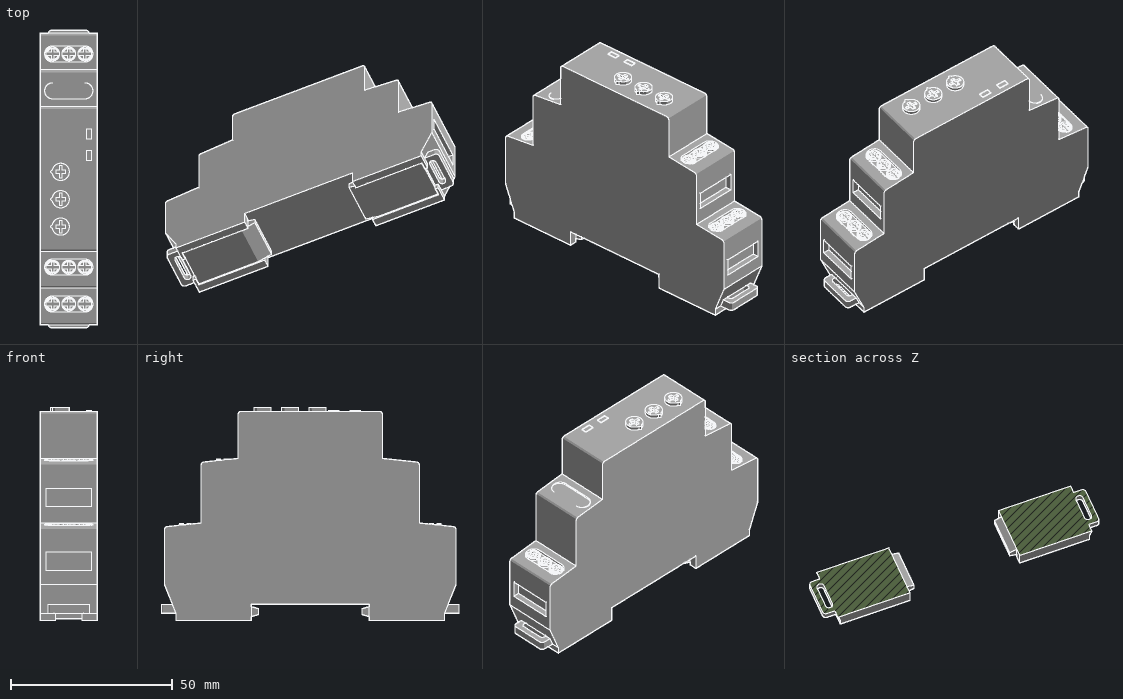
import cadquery as cq
import math

width = 17.8
top_height = 64.7
tier_half_lengths = (45.1, 33.8, 22.4)
shelf_heights = (30.2, 50.1)
shelf_slope = math.tan(math.radians(6))
edge_radius = 1.0
taper_top = 11.1
taper_bottom = 2.2
foot_half_length = 41.5
rail_half_length = 18.2
rail_height = 5.0

terminal_offset = 4.9
opening_length = 14.9
opening_width = 5.0
opening_depth = 1.0
screw_pitch = 5.0
collar_radius = 2.1
collar_height = 0.6
screw_radius = 1.75
screw_rise = 0.3
screw_slot_width = 1.1
screw_cross_width = 0.8
screw_cross_length = 3.1
screw_recess_depth = 0.7

window_width = 14.2
window_height = 5.6
window_depth = 2.0
window_heights = (18.3, 38.0)

knob_height = 1.2
knob_radius = 2.7
knob_x = -2.5
knob_first_y = 2.2
knob_pitch = 8.5
knob_count = 3
pointer_reach = 3.2
pointer_half_width = 1.4
knob_cross_depth = 0.7
knob_slot_length = 3.0
knob_slot_width = 1.1
knob_cross_length = 3.9
knob_cross_width = 0.8
lamp_x = 6.3
lamp_ys = (13.9, 7.3)
lamp_width = 1.7
lamp_length = 3.1
lamp_height = 0.2

clip_width = 12.7
clip_bottom = 0.55
clip_end = 46.0
clip_corner_radius = 1.1
hook_tip = 15.9
hook_tip_half_height = 0.9
hook_root = 20.4
lip_thickness = 1.0
lip_notch_width = 8.1
grip_bar = 1.8
grip_slot_length = 9.0
grip_slot_width = 2.1
grip_slot_radius = 1.0


def box(x_range, y_range, z_range):
    """Box spanning the three given ranges."""
    spans = [high - low for low, high in (x_range, y_range, z_range)]
    start = (x_range[0], y_range[0], z_range[0])
    return cq.Workplane("XY").box(*spans, centered=False).translate(start)


def centred_box(length_x, length_y, z_range, centre=(0, 0)):
    """Upright block centred on a point in the XY plane."""
    height = z_range[1] - z_range[0]
    block = cq.Workplane("XY").box(length_x, length_y, height, centered=(True, True, False))
    return block.translate((centre[0], centre[1], z_range[0]))


def both_ends(shape):
    """The shape at the +Y end, together with its mirror image at the -Y end."""
    return shape.union(shape.mirror("XZ"))


def shelf_z(tier, y):
    """Height of the sloping shelf of a tier at a distance y from the middle."""
    return shelf_heights[tier] - (y - tier_half_lengths[tier + 1]) * shelf_slope


def housing():
    lower, middle, upper = tier_half_lengths
    half_outline = [
        (rail_half_length, rail_height),
        (rail_half_length, 0),
        (foot_half_length, 0),
        (foot_half_length, taper_bottom),
        (lower, taper_top),
        (lower, shelf_z(0, lower)),
        (middle, shelf_heights[0]),
        (middle, shelf_z(1, middle)),
        (upper, shelf_heights[1]),
        (upper, top_height),
    ]
    outline = half_outline + [(-y, z) for y, z in reversed(half_outline)]
    body = cq.Workplane("YZ").polyline(outline).close().extrude(width / 2, both=True)
    tier_edges = [(lower, shelf_z(0, lower)), (middle, shelf_z(1, middle)), (upper, top_height)]
    for y, z in tier_edges:
        for end_y in (y, -y):
            corner = cq.selectors.NearestToPointSelector((0, end_y, z))
            body = body.edges(corner).fillet(edge_radius)
    return body


def shelf_opening(y, floor_z):
    """Cutter for a round-ended opening with a level floor."""
    outline = cq.Workplane("XY", origin=(0, y, floor_z)).slot2D(opening_length, opening_width)
    return outline.extrude(2 * opening_depth)


def terminal_screw(x, y, floor_z, top_z):
    """Screw head on a wider collar, with a slot right across and a shorter cross arm."""
    base = cq.Workplane("XY", origin=(x, y, floor_z))
    screw = base.circle(collar_radius).extrude(collar_height)
    screw = screw.union(base.circle(screw_radius).extrude(top_z - floor_z))
    recess = (top_z - screw_recess_depth, top_z)
    screw = screw.cut(centred_box(2 * collar_radius, screw_slot_width, recess, (x, y)))
    return screw.cut(centred_box(screw_cross_width, screw_cross_length, recess, (x, y)))


def add_terminals(body, tier, end):
    """Opening with three screws in a shelf; end is 1 for +Y and -1 for -Y."""
    y = tier_half_lengths[tier + 1] + terminal_offset
    floor_z = shelf_z(tier, y - opening_width / 2) - opening_depth
    body = body.cut(shelf_opening(end * y, floor_z))
    for place in (-1, 0, 1):
        screw = terminal_screw(place * screw_pitch, end * y, floor_z, shelf_z(tier, y) + screw_rise)
        body = body.union(screw)
    return body


def cut_blank_opening(body):
    """Unused terminal place at +Y: a level floor that meets the sloping shelf at its outer edge."""
    y = tier_half_lengths[2] + terminal_offset
    return body.cut(shelf_opening(y, shelf_z(1, y + opening_width / 2)))


def window(tier, end):
    wall = tier_half_lengths[tier]
    z = window_heights[tier]
    y_range = sorted((end * wall, end * (wall - window_depth)))
    return box(
        (-window_width / 2, window_width / 2),
        y_range,
        (z - window_height / 2, z + window_height / 2),
    )


def knob(y):
    """Round knob with a pointer towards -X and a cross recess."""
    base = cq.Workplane("XY", origin=(knob_x, y, top_height))
    disc = base.circle(knob_radius).extrude(knob_height)
    pointer_root = pointer_half_width - pointer_reach
    pointer_outline = [
        (-pointer_reach, 0),
        (pointer_root, -pointer_half_width),
        (pointer_root, pointer_half_width),
    ]
    disc = disc.union(base.polyline(pointer_outline).close().extrude(knob_height))
    knob_top = top_height + knob_height
    recess = (knob_top - knob_cross_depth, knob_top)
    disc = disc.cut(centred_box(knob_slot_length, knob_slot_width, recess, (knob_x, y)))
    return disc.cut(centred_box(knob_cross_width, knob_cross_length, recess, (knob_x, y)))


def clip_space():
    """Room around the clip at the +Y end: groove under it, notch in the lip and gap around the hook."""
    half = clip_width / 2
    lip_back = foot_half_length - lip_thickness
    groove = box((-half, half), (rail_half_length, lip_back), (0, clip_bottom))
    gap = box((-half, half), (rail_half_length, hook_root), (0, rail_height))
    half_notch = lip_notch_width / 2
    notch = box((-half_notch, half_notch), (lip_back, foot_half_length), (0, taper_bottom))
    return groove.union(gap).union(notch)


def clip():
    """Clip at the +Y end: tapered hook at the rail and a slotted grip outside the housing."""
    middle_z = (clip_bottom + rail_height) / 2
    lip_back = foot_half_length - lip_thickness
    profile = [
        (hook_tip, middle_z - hook_tip_half_height),
        (hook_root, clip_bottom),
        (lip_back, clip_bottom),
        (lip_back, taper_bottom),
        (clip_end, taper_bottom),
        (clip_end, rail_height),
        (hook_root, rail_height),
        (hook_tip, middle_z + hook_tip_half_height),
    ]
    bar = cq.Workplane("YZ").polyline(profile).close().extrude(clip_width / 2, both=True)
    return bar.edges("|Z and >Y").fillet(clip_corner_radius)


def grip_slot():
    """Finger slot through the grip at the +Y end, behind its outer bar."""
    y = clip_end - grip_bar - grip_slot_width / 2
    slot = centred_box(grip_slot_length, grip_slot_width, (taper_bottom, rail_height), (0, y))
    return slot.edges("|Z").fillet(grip_slot_radius)


result = housing()

for terminal_tier, terminal_end in ((0, -1), (1, -1), (0, 1)):
    result = add_terminals(result, terminal_tier, terminal_end)
    result = result.cut(window(terminal_tier, terminal_end))
result = cut_blank_opening(result)

for index in range(knob_count):
    result = result.union(knob(knob_first_y - index * knob_pitch))
for lamp_y in lamp_ys:
    lamp_range = (top_height, top_height + lamp_height)
    result = result.union(centred_box(lamp_width, lamp_length, lamp_range, (lamp_x, lamp_y)))

result = result.cut(both_ends(clip_space()))
result = result.union(both_ends(clip()))
result = result.cut(both_ends(grip_slot()))